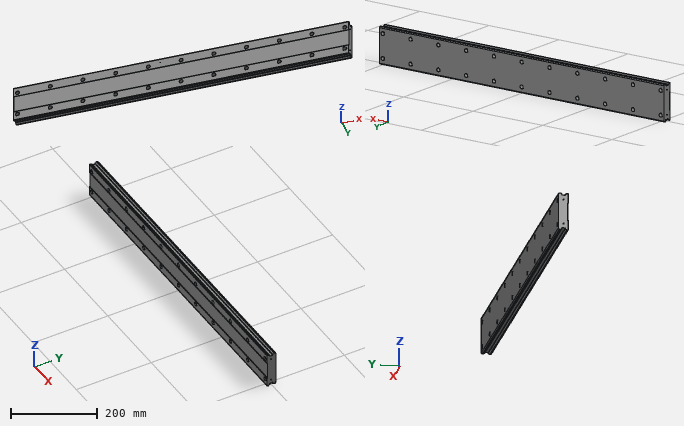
import cadquery as cq

length = 820.0
thickness = 24.0
height = 90.0

half_thickness = thickness / 2
half_height = height / 2

groove_centre = -1.0
groove_mouth_width = 15.5
groove_flank_depth = 2.5
slot_width = 7.8
slot_depth = 4.5

back_chamfer = 2.5
front_chamfer = 1.0

relief_height = 43.0
relief_depth = 1.2

hole_count = 11
end_margin = 10.0
hole_pitch = (length - 2 * end_margin) / (hole_count - 1)
hole_row_spacing = 60.0
hole_diameter = 9.0

end_hole_diameter = 2.0
end_hole_offset = -1.0
end_hole_depth = end_margin


def upper_edge_points():
    """Outline of the grooved top edge as (y, z), from the front face to the back face."""
    mouth_front = groove_centre - groove_mouth_width / 2
    mouth_back = groove_centre + groove_mouth_width / 2
    slot_front = groove_centre - slot_width / 2
    slot_back = groove_centre + slot_width / 2
    flank_z = half_height - groove_flank_depth
    slot_z = half_height - slot_depth
    return [
        (-half_thickness, half_height - front_chamfer),
        (-half_thickness + front_chamfer, half_height),
        (mouth_front, half_height),
        (slot_front, flank_z),
        (slot_front, slot_z),
        (slot_back, slot_z),
        (slot_back, flank_z),
        (mouth_back, half_height),
        (half_thickness - back_chamfer, half_height),
        (half_thickness, half_height - back_chamfer),
    ]


def grooved_bar():
    """Bar with the same grooved outline on its top and bottom edges."""
    upper = upper_edge_points()
    lower = [(y, -z) for y, z in reversed(upper)]
    profile = cq.Workplane("YZ").polyline(upper + lower).close()
    return profile.extrude(length / 2, both=True)


def front_relief():
    """Full-length shallow channel in the front face."""
    channel = cq.Workplane("XY").box(length, relief_depth, relief_height)
    return channel.translate((0, -half_thickness + relief_depth / 2, 0))


def mounting_holes():
    """Both rows of through holes."""
    grid = cq.Workplane("XZ").rarray(hole_pitch, hole_row_spacing, hole_count, 2)
    return grid.circle(hole_diameter / 2).extrude(thickness, both=True)


def end_holes(side):
    """Pair of holes entering one end; side is -1 for the -X end and +1 for the +X end."""
    centres = [(end_hole_offset, z) for z in (-hole_row_spacing / 2, hole_row_spacing / 2)]
    end_plane = cq.Workplane("YZ", origin=(side * length / 2, 0, 0))
    return end_plane.pushPoints(centres).circle(end_hole_diameter / 2).extrude(-side * end_hole_depth)


result = grooved_bar().cut(front_relief()).cut(mounting_holes())
for end_side in (-1, 1):
    result = result.cut(end_holes(end_side))